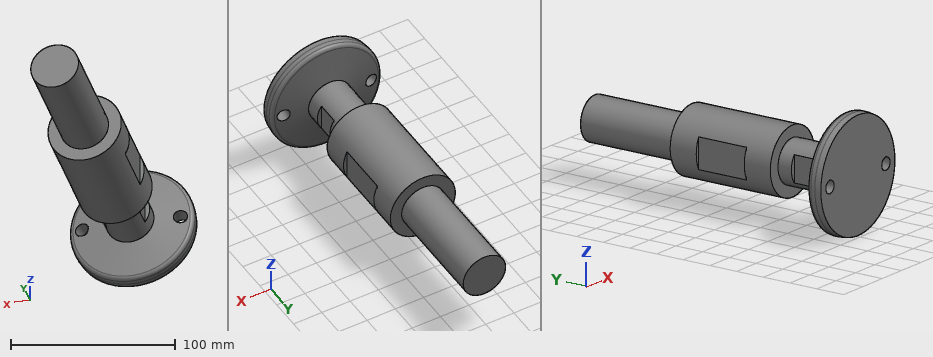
import cadquery as cq
import math


rim_diameter = 78.0
underside_diameter = 76.88
lower_rim_height = 4.1
cone_angle = 10.0
foot_height = 13.65
shoulder_radius = 2.7

hole_diameter = 8.5
hole_spacing = 58.0

spindle_diameter = 30.0
spindle_end = 197.0
spindle_flat_width = 24.0
spindle_flat_length = 15.0
spindle_flat_start = 24.0

collar_diameter = 46.0
collar_start = 49.0
collar_length = 75.0
collar_flat_width = 41.0
collar_flat_length = 36.0
collar_flat_start = collar_start + (collar_length - collar_flat_length) / 2

SIDES = (-1, 1)


def cylinder(diameter, start, length):
    """Solid cylinder along Y that begins at Y = start."""
    base = cq.Workplane("XZ", origin=(0, start, 0))
    return base.circle(diameter / 2).extrude(-length)


def cut_wrench_flats(body, diameter, width, start, length):
    """Mill two parallel flats, facing -X and +X, into a round body."""
    depth = (diameter - width) / 2
    for side in SIDES:
        center = (side * (width + depth) / 2, start + length / 2, 0)
        body = body.cut(cq.Workplane("XY", origin=center).box(depth, length, diameter))
    return body


def make_foot_disc():
    """Disc with a tapered lower rim, a rounded shoulder and a conical top."""
    tilt = math.radians(cone_angle)
    rim_radius = rim_diameter / 2
    top_radius = spindle_diameter / 2

    corner_height = foot_height - (rim_radius - top_radius) * math.tan(tilt)
    tangent_length = shoulder_radius * math.tan((math.pi / 2 - tilt) / 2)
    arc_x = rim_radius - shoulder_radius
    arc_y = corner_height - tangent_length

    def shoulder_point(angle):
        return (
            arc_x + shoulder_radius * math.cos(angle),
            arc_y + shoulder_radius * math.sin(angle),
        )

    arc_sweep = math.pi / 2 - tilt
    profile = (
        cq.Workplane("XY")
        .lineTo(underside_diameter / 2, 0)
        .lineTo(rim_radius, lower_rim_height)
        .lineTo(rim_radius, arc_y)
        .threePointArc(shoulder_point(arc_sweep / 2), shoulder_point(arc_sweep))
        .lineTo(top_radius, foot_height)
        .lineTo(0, foot_height)
        .close()
    )
    return profile.revolve(360, (0, 0, 0), (0, 1, 0))


def make_hole_cutter(side):
    """Cylinder square to the cone, crossing the underside at half the hole spacing."""
    tilt = math.radians(cone_angle)
    axis = cq.Vector(side * math.sin(tilt), math.cos(tilt), 0)
    crossing = cq.Vector(side * hole_spacing / 2, 0, 0)
    start = crossing - axis * foot_height
    return cq.Solid.makeCylinder(hole_diameter / 2, 3 * foot_height, start, axis)


def make_spindle():
    """Plain round rod above the foot with one pair of wrench flats."""
    rod = cylinder(spindle_diameter, foot_height, spindle_end - foot_height)
    return cut_wrench_flats(
        rod, spindle_diameter, spindle_flat_width, spindle_flat_start, spindle_flat_length
    )


def make_footed_spindle():
    """Foot disc with its two holes, joined to the spindle as one solid."""
    disc = make_foot_disc()
    for side in SIDES:
        disc = disc.cut(cq.Workplane(make_hole_cutter(side)))
    return disc.union(make_spindle())


def make_collar():
    """Thick sleeve that fits the spindle, with one pair of wrench flats."""
    collar = cylinder(collar_diameter, collar_start, collar_length)
    collar = collar.cut(cylinder(spindle_diameter, collar_start, collar_length))
    return cut_wrench_flats(
        collar, collar_diameter, collar_flat_width, collar_flat_start, collar_flat_length
    )


footed_spindle = make_footed_spindle()
collar = make_collar()

result = cq.Compound.makeCompound([footed_spindle.val(), collar.val()])